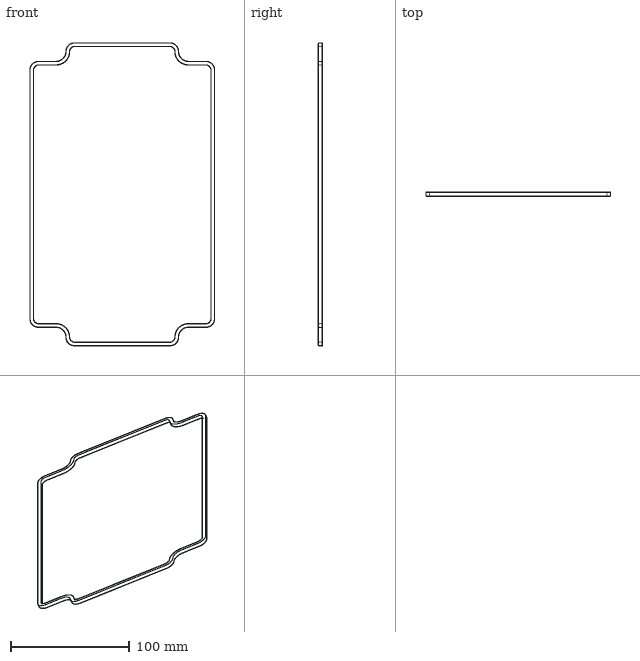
import cadquery as cq

width = 156.5
height = 256.4
depth = 3.5

front_land = 0.65
front_round = 1.3
cord_width = front_land + 2 * front_round

corner_radius = 7.5
tab_step = 15.6
tab_inset = 30.5
neck_radius = tab_step - corner_radius

half_width = width / 2
half_height = height / 2
tab_half_width = half_width - tab_inset
shoulder_height = half_height - tab_step


def ring_outline(inset):
    """Closed outline in the XZ plane, moved inward from the outer edge by inset."""
    side = half_width - inset
    tab_side = tab_half_width - inset
    shoulder = shoulder_height - inset
    end = half_height - inset
    corner = corner_radius - inset
    neck = neck_radius + inset
    bend_height = end - corner
    outline = cq.Workplane("XZ", origin=(0, depth / 2, 0)).moveTo(side, corner - shoulder)

    for turn in (1, -1):
        outline = (
            outline.lineTo(turn * side, turn * (shoulder - corner))
            .tangentArcPoint((turn * (side - corner), turn * shoulder), relative=False)
            .lineTo(turn * (tab_side + neck), turn * shoulder)
            .tangentArcPoint((turn * tab_side, turn * bend_height), relative=False)
            .tangentArcPoint((turn * (tab_side - corner), turn * end), relative=False)
            .lineTo(turn * (corner - tab_side), turn * end)
            .tangentArcPoint((-turn * tab_side, turn * bend_height), relative=False)
            .tangentArcPoint((-turn * (tab_side + neck), turn * shoulder), relative=False)
            .lineTo(turn * (corner - side), turn * shoulder)
            .tangentArcPoint((-turn * side, turn * (shoulder - corner)), relative=False)
        )
    return outline.close()


outer_body = ring_outline(0).extrude(depth)
opening = ring_outline(cord_width).extrude(depth)
ring = outer_body.cut(opening)

result = ring.faces("<Y").edges().fillet(front_round)